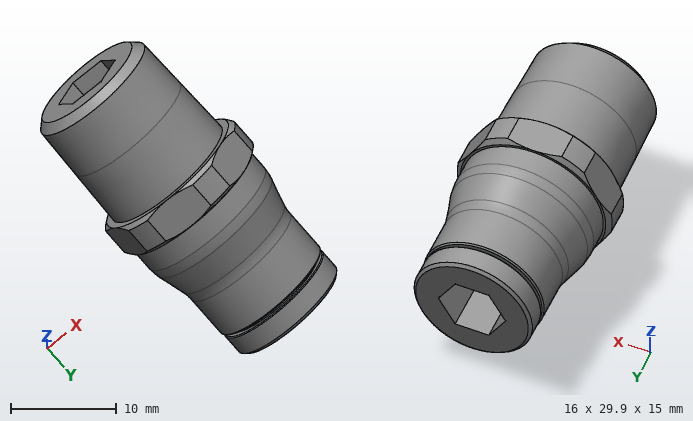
import cadquery as cq
import math


THREAD_TAPER = 1 / 16
GAUGE_RADIUS = 13.157 / 2
GAUGE_Y = 6.0
THREAD_TIP_RADIUS = 5.55
THREAD_CHAMFER_LENGTH = 0.85

FLANGE_START_Y = 11.9
FLANGE_LENGTH = 3.5
FLANGE_ACROSS_FLATS = 15.0
FLANGE_CORNER_RADIUS = 8.0
FLANGE_CHAMFER_LENGTH = 0.4

BODY_RADIUS = 7.25
BODY_LENGTH = 2.3
SHOULDER_LENGTH = 5.0
SHOULDER_ANGLE = math.radians(15.2)
SLEEVE_RADIUS = 6.2
SLEEVE_END_Y = 27.2
SLEEVE_EDGE_CHAMFER = 0.15

NECK_RADIUS = 5.45
COLLAR_RADIUS = 6.1
COLLAR_START_Y = 27.5
COLLAR_START_CHAMFER = 0.1
COLLAR_END_CHAMFER = 0.3
TOTAL_LENGTH = 29.9

SOCKET_ACROSS_FLATS = 6.0

FLANGE_END_Y = FLANGE_START_Y + FLANGE_LENGTH
SHOULDER_START_Y = FLANGE_END_Y + BODY_LENGTH
SHOULDER_END_Y = SHOULDER_START_Y + SHOULDER_LENGTH


def revolve(outline):
    """Close an XY outline and turn it about the Y axis."""
    return outline.close().revolve(360, (0, 0, 0), (0, 1, 0))


def thread_radius(y):
    return GAUGE_RADIUS + (y - GAUGE_Y) * THREAD_TAPER / 2


def hexagon_prism(across_flats, start_y, length):
    """Hexagonal prism along Y with its corners on the X axis."""
    corner_diameter = across_flats / math.cos(math.pi / 6)
    plane = cq.Plane(origin=(0, start_y, 0), xDir=(1, 0, 0), normal=(0, 1, 0))
    return cq.Workplane(plane).polygon(6, corner_diameter).extrude(length)


def make_thread_tip():
    """Chamfered end of the thread, up to its gauge circle."""
    outline = (
        cq.Workplane("XY")
        .lineTo(THREAD_TIP_RADIUS, 0)
        .lineTo(thread_radius(THREAD_CHAMFER_LENGTH), THREAD_CHAMFER_LENGTH)
        .lineTo(GAUGE_RADIUS, GAUGE_Y)
        .lineTo(0, GAUGE_Y)
    )
    return revolve(outline)


def make_thread_root():
    """Same taper carried on from the gauge circle to the flange."""
    outline = (
        cq.Workplane("XY")
        .moveTo(0, GAUGE_Y)
        .lineTo(GAUGE_RADIUS, GAUGE_Y)
        .lineTo(thread_radius(FLANGE_START_Y), FLANGE_START_Y)
        .lineTo(0, FLANGE_START_Y)
    )
    return revolve(outline)


def make_flange():
    """Hexagon whose corners are turned down and chamfered on both faces."""
    face_radius = FLANGE_ACROSS_FLATS / 2
    turned = (
        cq.Workplane("XY")
        .moveTo(0, FLANGE_START_Y)
        .lineTo(face_radius, FLANGE_START_Y)
        .lineTo(FLANGE_CORNER_RADIUS, FLANGE_START_Y + FLANGE_CHAMFER_LENGTH)
        .lineTo(FLANGE_CORNER_RADIUS, FLANGE_END_Y - FLANGE_CHAMFER_LENGTH)
        .lineTo(face_radius, FLANGE_END_Y)
        .lineTo(0, FLANGE_END_Y)
    )
    hexagon = hexagon_prism(FLANGE_ACROSS_FLATS, FLANGE_START_Y, FLANGE_LENGTH)
    return hexagon.intersect(revolve(turned))


def make_body():
    """Straight body, shoulder of two equal arcs joined by a cone, and sleeve."""
    cone_length = (BODY_RADIUS - SLEEVE_RADIUS) / math.tan(SHOULDER_ANGLE)
    tangent_length = (SHOULDER_LENGTH - cone_length) / 2
    arc_length_y = tangent_length * (1 + math.cos(SHOULDER_ANGLE))
    arc_drop = tangent_length * math.sin(SHOULDER_ANGLE)
    arc_radius = tangent_length / math.tan(SHOULDER_ANGLE / 2)
    outline = (
        cq.Workplane("XY")
        .moveTo(0, FLANGE_END_Y)
        .lineTo(BODY_RADIUS, FLANGE_END_Y)
        .lineTo(BODY_RADIUS, SHOULDER_START_Y)
        .radiusArc((BODY_RADIUS - arc_drop, SHOULDER_START_Y + arc_length_y), -arc_radius)
        .lineTo(SLEEVE_RADIUS + arc_drop, SHOULDER_END_Y - arc_length_y)
        .radiusArc((SLEEVE_RADIUS, SHOULDER_END_Y), arc_radius)
        .lineTo(SLEEVE_RADIUS, SLEEVE_END_Y - SLEEVE_EDGE_CHAMFER)
        .lineTo(SLEEVE_RADIUS - SLEEVE_EDGE_CHAMFER, SLEEVE_END_Y)
        .lineTo(0, SLEEVE_END_Y)
    )
    return revolve(outline)


def make_collar():
    """Narrow neck carrying the release collar."""
    outline = (
        cq.Workplane("XY")
        .moveTo(0, SLEEVE_END_Y)
        .lineTo(NECK_RADIUS, SLEEVE_END_Y)
        .lineTo(NECK_RADIUS, COLLAR_START_Y)
        .lineTo(COLLAR_RADIUS - COLLAR_START_CHAMFER, COLLAR_START_Y)
        .lineTo(COLLAR_RADIUS, COLLAR_START_Y + COLLAR_START_CHAMFER)
        .lineTo(COLLAR_RADIUS, TOTAL_LENGTH - COLLAR_END_CHAMFER)
        .lineTo(COLLAR_RADIUS - COLLAR_END_CHAMFER, TOTAL_LENGTH)
        .lineTo(0, TOTAL_LENGTH)
    )
    return revolve(outline)


def make_socket():
    return hexagon_prism(SOCKET_ACROSS_FLATS, 0, TOTAL_LENGTH)


result = (
    make_thread_tip()
    .union(make_thread_root(), clean=False)
    .union(make_flange(), clean=False)
    .union(make_body(), clean=False)
    .union(make_collar(), clean=False)
    .cut(make_socket(), clean=False)
)